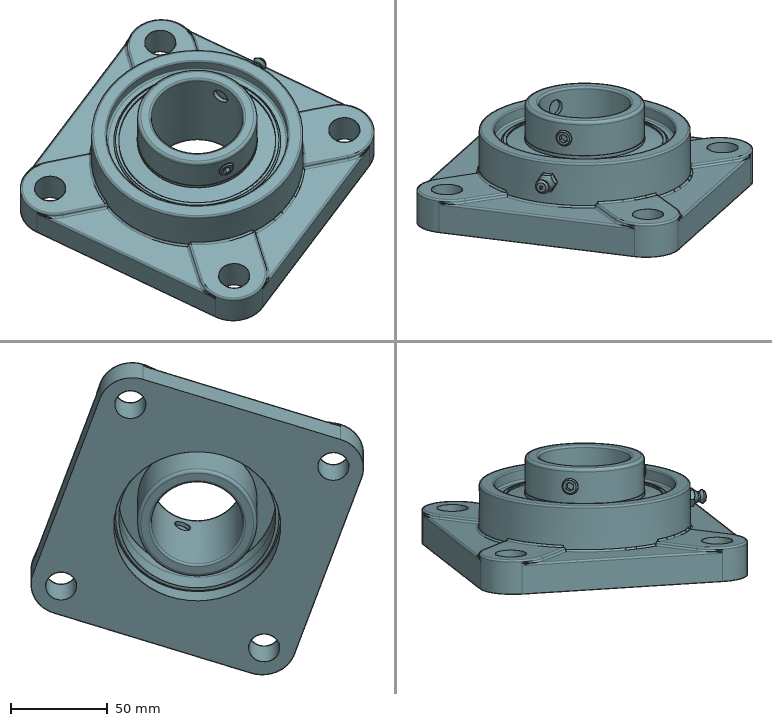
import cadquery as cq
import math

Z_AXIS = ((0, 0, 0), (0, 0, 1))

FLANGE_SIDE = 143.0
CORNER_RADIUS = 17.6
PLATE_HEIGHT = 16.2
CAST_FILLET = 1.0

PAD_HEIGHT = 18.2
PAD_HALF_WIDTH = CORNER_RADIUS
BOLT_HOLE_DIAMETER = 16.0
BOLT_HOLE_OFFSET = 55.5
PAD_ANGLES = (45, 135, 225, 315)
BAR_ANGLES = PAD_ANGLES[:2]
PAD_BEND_ANGLE = 45
END_CENTER_RADIUS = (FLANGE_SIDE / 2 - CORNER_RADIUS) * math.sqrt(2)

HUB_HEIGHT = 40.0
HUB_BASE_RADIUS = 54.9
HUB_TOP_RADIUS = 54.6
MOUTH_RADIUS = 94.0 / 2
MOUTH_RIM_FILLET = 0.7
LEDGE_HEIGHT = 33.3

TOTAL_HEIGHT = 54.6
BEARING_CENTER_HEIGHT = 22.0
SPHERE_RADIUS = 44.6
OUTER_RING_WIDTH = 24.0
OUTER_RING_CHAMFER = 0.7
OUTER_RING_BORE_RADIUS = 81.2 / 2
INNER_RING_HEIGHT = 51.6
INNER_RING_RADIUS = 61.8 / 2
SHAFT_BORE_RADIUS = 47.6 / 2
INNER_RING_OUTER_FILLET = 1.7
INNER_RING_BORE_FILLET = 1.1

SEAL_COLLAR_RADIUS = 62.2 / 2
SEAL_THICKNESS = 2.1
SEAL_OUTER_DROP = 0.9
SEAL_RISE = 0.3
SEAL_COLLAR_RISE = 2.0

HEX_SIDES = 6

SCREW_DIAMETER = 8.5
SCREW_HEIGHT = 45.0
SCREW_ANGLES = (90, -30)
SCREW_INNER_END = 25.9
SCREW_OUTER_END = 31.9
SCREW_CHAMFER = 0.7
SOCKET_FLATS = 4.0
SOCKET_DEPTH = 2.9

NIPPLE_HEIGHT = 29.0
NIPPLE_HEX_FLATS = 8.9
NIPPLE_HEX_CHAMFER = 1.3
NIPPLE_STEM_RADIUS = 6.0 / 2
NIPPLE_STEM_START = 50.0
NIPPLE_HEX_START = 54.0
NIPPLE_HEX_END = 58.6
NIPPLE_CONE_RADIUS = 3.9
NIPPLE_SHOULDER_END = 59.8
NIPPLE_SHOULDER_RADIUS = 3.1
NIPPLE_NECK_START = 60.6
NIPPLE_NECK_END = 61.5
NIPPLE_NECK_RADIUS = 2.6
NIPPLE_HEAD_RIDGE = 63.2
NIPPLE_HEAD_RADIUS = 3.7
NIPPLE_HEAD_END = 64.6
NIPPLE_TIP_RADIUS = 1.6 / 2
NIPPLE_TIP_END = 65.2


def make_plate():
    """Square plate with open corners, which the round ends of the pads fill."""
    plate = cq.Workplane().rect(FLANGE_SIDE, FLANGE_SIDE).extrude(PLATE_HEIGHT)
    plate = plate.faces(">Z").edges().fillet(CAST_FILLET)
    corner_offset = FLANGE_SIDE - CORNER_RADIUS
    corners = (
        cq.Workplane()
        .rect(corner_offset, corner_offset, forConstruction=True)
        .vertices().rect(CORNER_RADIUS, CORNER_RADIUS).extrude(PLATE_HEIGHT)
    )
    return plate.cut(corners)


def make_pads():
    """Two crossed bars on the diagonals, whose round ends coincide with the flange corners."""
    length = 2 * (END_CENTER_RADIUS + CORNER_RADIUS)
    pads = cq.Workplane()
    for angle in BAR_ANGLES:
        bar = cq.Workplane().slot2D(length, 2 * PAD_HALF_WIDTH).extrude(PAD_HEIGHT)
        bar = bar.faces(">Z").edges().fillet(CAST_FILLET)
        pads = pads.add(bar.rotate(*Z_AXIS, angle))
    return pads.combine()


def pad_cove():
    """Section of the concave fillet between the side of a pad and the plate, at +Y."""
    return (
        cq.Workplane("YZ")
        .moveTo(PAD_HALF_WIDTH, PLATE_HEIGHT)
        .lineTo(PAD_HALF_WIDTH + CAST_FILLET, PLATE_HEIGHT)
        .radiusArc((PAD_HALF_WIDTH, PLATE_HEIGHT + CAST_FILLET), CAST_FILLET)
        .close()
    )


def make_pad_skirts():
    """Concave fillets beside the pads, each following a bar and then its round end to the plate edge."""
    skirts = cq.Workplane()
    for angle in PAD_ANGLES:
        straight = pad_cove().extrude(END_CENTER_RADIUS)
        bend = pad_cove().revolve(PAD_BEND_ANGLE, (0, 0), (0, -1)).translate((END_CENTER_RADIUS, 0, 0))
        side = straight.union(bend)
        for skirt in (side, side.mirror("XZ")):
            skirts = skirts.add(skirt.rotate(*Z_AXIS, angle))
    within_flange = cq.Workplane().box(FLANGE_SIDE, FLANGE_SIDE, 2 * PAD_HEIGHT)
    return skirts.combine().intersect(within_flange)


def make_hub():
    """Solid hub with a slight draft and a rounded top edge."""
    hub = (
        cq.Workplane("XZ")
        .polyline([(0, 0), (HUB_BASE_RADIUS, 0), (HUB_BASE_RADIUS, PLATE_HEIGHT),
                   (HUB_TOP_RADIUS, HUB_HEIGHT), (0, HUB_HEIGHT)])
        .close()
        .revolve(360, (0, 0), (0, 1))
    )
    return hub.faces(">Z").edges().fillet(CAST_FILLET)


def make_hub_cove(floor):
    """Concave fillet around the foot of the hub, standing on a surface at the height `floor`."""
    wall = HUB_TOP_RADIUS - CAST_FILLET
    return (
        cq.Workplane("XZ")
        .moveTo(wall, floor)
        .lineTo(HUB_BASE_RADIUS + CAST_FILLET, floor)
        .radiusArc((HUB_BASE_RADIUS, floor + CAST_FILLET), CAST_FILLET)
        .lineTo(wall, floor + CAST_FILLET)
        .close()
        .revolve(360, (0, 0), (0, 1))
    )


def make_hub_coves():
    """Foot fillet of the hub: a full ring on the plate and short stretches on the pads."""
    on_pads = make_hub_cove(PAD_HEIGHT)
    flats = cq.Workplane()
    for angle in BAR_ANGLES:
        flat = cq.Workplane().rect(FLANGE_SIDE, 2 * (PAD_HALF_WIDTH - CAST_FILLET)).extrude(HUB_HEIGHT)
        flats = flats.add(flat.rotate(*Z_AXIS, angle))
    return make_hub_cove(PLATE_HEIGHT).union(on_pads.intersect(flats.combine()))


def make_outer_ring():
    """Ring with a spherical outside that sits in the housing seat."""
    half = OUTER_RING_WIDTH / 2
    ring = cq.Workplane().sphere(SPHERE_RADIUS)
    ring = ring.intersect(cq.Workplane().box(FLANGE_SIDE, FLANGE_SIDE, OUTER_RING_WIDTH))
    ring = ring.faces("<Z or >Z").edges().chamfer(OUTER_RING_CHAMFER)
    ring = ring.cut(cq.Workplane().circle(OUTER_RING_BORE_RADIUS).extrude(half, both=True))
    return ring.translate((0, 0, BEARING_CENTER_HEIGHT))


def make_housing_cavity():
    """Stepped mouth, spherical seat and the opening below the bearing."""
    opening = math.sqrt(SPHERE_RADIUS**2 - (LEDGE_HEIGHT - BEARING_CENTER_HEIGHT) ** 2)
    mouth = cq.Workplane().workplane(offset=LEDGE_HEIGHT).circle(MOUTH_RADIUS)
    mouth = mouth.extrude(HUB_HEIGHT - LEDGE_HEIGHT)
    mouth = mouth.faces("<Z").edges().fillet(CAST_FILLET)
    seat = cq.Workplane().sphere(SPHERE_RADIUS).translate((0, 0, BEARING_CENTER_HEIGHT))
    seat = seat.intersect(cq.Workplane().circle(FLANGE_SIDE).extrude(LEDGE_HEIGHT))
    through = cq.Workplane().circle(opening).extrude(LEDGE_HEIGHT)
    return mouth.union(seat).union(through)


def make_housing(nipple):
    """Flanged housing, hollowed for the bearing and drilled for bolts and grease nipple."""
    housing = make_plate().union(make_pads()).union(make_pad_skirts())
    housing = housing.union(make_hub()).union(make_hub_coves())
    holes = (
        cq.Workplane()
        .rect(2 * BOLT_HOLE_OFFSET, 2 * BOLT_HOLE_OFFSET, forConstruction=True)
        .vertices().circle(BOLT_HOLE_DIAMETER / 2).extrude(PAD_HEIGHT)
    )
    housing = housing.cut(make_housing_cavity()).cut(holes)
    mouth_rim = housing.faces(">Z").edges(cq.selectors.RadiusNthSelector(0))
    return mouth_rim.fillet(MOUTH_RIM_FILLET).cut(nipple)


def make_inner_ring():
    """Long ring with rounded ends and a hole for each set screw."""
    ring = cq.Workplane().workplane(offset=TOTAL_HEIGHT - INNER_RING_HEIGHT)
    ring = ring.circle(INNER_RING_RADIUS).circle(SHAFT_BORE_RADIUS).extrude(INNER_RING_HEIGHT)
    for end in (">Z", "<Z"):
        rims = ring.faces(end).edges()
        ring = rims.edges(cq.selectors.RadiusNthSelector(1)).fillet(INNER_RING_OUTER_FILLET)
        ring = ring.faces(end).edges(cq.selectors.RadiusNthSelector(0)).fillet(INNER_RING_BORE_FILLET)
    for angle in SCREW_ANGLES:
        ring = ring.cut(place_radially(
            cq.Workplane("YZ").circle(SCREW_DIAMETER / 2).extrude(FLANGE_SIDE / 2), angle))
    return ring


def place_radially(body, angle):
    """Lift a body that lies along +X to the screw height and turn it to its angle."""
    return body.translate((0, 0, SCREW_HEIGHT)).rotate(*Z_AXIS, angle)


def make_seal():
    """Dished ring with a collar that grips the inner ring."""
    top = BEARING_CENTER_HEIGHT + OUTER_RING_WIDTH / 2
    return (
        cq.Workplane("XZ")
        .polyline([
            (OUTER_RING_BORE_RADIUS, top - SEAL_THICKNESS),
            (OUTER_RING_BORE_RADIUS, top - SEAL_OUTER_DROP),
            (SEAL_COLLAR_RADIUS, top + SEAL_RISE),
            (SEAL_COLLAR_RADIUS, top + SEAL_COLLAR_RISE),
            (INNER_RING_RADIUS, top + SEAL_COLLAR_RISE),
            (INNER_RING_RADIUS, top - SEAL_THICKNESS),
        ]).close().revolve(360, (0, 0), (0, 1))
    )


def make_screw(angle):
    """Set screw with a hexagon socket in its outer end."""
    screw = cq.Workplane("YZ", origin=(SCREW_INNER_END, 0, 0)).circle(SCREW_DIAMETER / 2)
    screw = screw.extrude(SCREW_OUTER_END - SCREW_INNER_END)
    screw = screw.faces(">X").edges().chamfer(SCREW_CHAMFER)
    socket = cq.Workplane("YZ", origin=(SCREW_OUTER_END - SOCKET_DEPTH, 0, 0))
    socket = socket.polygon(HEX_SIDES, SOCKET_FLATS, circumscribed=True).extrude(SOCKET_DEPTH)
    return place_radially(screw.cut(socket), angle)


def make_nipple():
    """Grease nipple along +Y: turned stem, neck and head around a chamfered hexagon."""
    turned = (
        cq.Workplane("XY")
        .polyline([
            (0, NIPPLE_STEM_START),
            (NIPPLE_STEM_RADIUS, NIPPLE_STEM_START),
            (NIPPLE_STEM_RADIUS, NIPPLE_HEX_END),
            (NIPPLE_CONE_RADIUS, NIPPLE_HEX_END),
            (NIPPLE_SHOULDER_RADIUS, NIPPLE_SHOULDER_END),
            (NIPPLE_NECK_RADIUS, NIPPLE_NECK_START),
            (NIPPLE_NECK_RADIUS, NIPPLE_NECK_END),
            (NIPPLE_HEAD_RADIUS, NIPPLE_HEAD_RIDGE),
            (NIPPLE_NECK_RADIUS, NIPPLE_HEAD_END),
            (NIPPLE_TIP_RADIUS, NIPPLE_HEAD_END),
            (NIPPLE_TIP_RADIUS, NIPPLE_TIP_END),
            (0, NIPPLE_TIP_END),
        ]).close().revolve(360, (0, 0), (0, 1))
    )
    hexagon = cq.Workplane("XZ", origin=(0, NIPPLE_HEX_END, 0))
    hexagon = hexagon.transformed(rotate=(0, 0, 180 / HEX_SIDES))
    hexagon = hexagon.polygon(HEX_SIDES, NIPPLE_HEX_FLATS, circumscribed=True)
    hexagon = hexagon.extrude(NIPPLE_HEX_END - NIPPLE_HEX_START)
    blank = cq.Workplane("XZ", origin=(0, NIPPLE_HEX_END, 0))
    blank = blank.circle(NIPPLE_CONE_RADIUS + NIPPLE_HEX_CHAMFER)
    blank = blank.extrude(NIPPLE_HEX_END - NIPPLE_HEX_START)
    hexagon = hexagon.intersect(blank.faces(">Y").edges().chamfer(NIPPLE_HEX_CHAMFER))
    return turned.union(hexagon).translate((0, 0, NIPPLE_HEIGHT))


nipple = make_nipple()
screws = [make_screw(angle) for angle in SCREW_ANGLES]
housing = make_housing(nipple)
outer_ring = make_outer_ring()
inner_ring = make_inner_ring()
seal = make_seal()

result = cq.Compound.makeCompound(
    [housing.val(), outer_ring.val(), inner_ring.val(), seal.val(), nipple.val()]
    + [screw.val() for screw in screws]
)